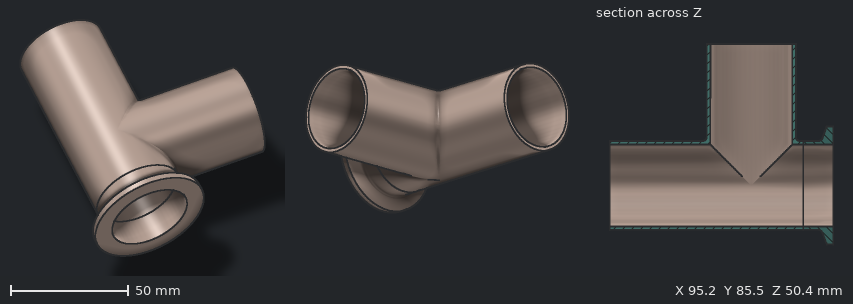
import cadquery as cq
import math

tube_outer_radius = 19.05
wall = 1.65
bore_radius = tube_outer_radius - wall

long_arm = 60.3
short_arm = 22.2
branch_length = long_arm
crotch_radius = 1.5
tangent_join_tolerance = 0.001

ferrule_length = 12.7
flange_radius = 25.2
flange_rim_thickness = 2.85
flange_taper_deg = 20.0
flange_root_radius = 1.6


def make_run(radius):
    """Solid cylinder along X over the full run of the tee."""
    run_length = long_arm + short_arm
    return cq.Workplane("YZ", origin=(-long_arm, 0, 0)).circle(radius).extrude(run_length)


def make_branch(radius):
    """Solid cylinder along +Y from the run axis to the branch end."""
    return cq.Workplane("XZ").circle(radius).extrude(-branch_length)


def make_crotch_fillet(side):
    """Wedge that rounds one crotch, on the +X side (side = 1) or the -X side (side = -1).

    A ball rolling in the crotch touches both tubes; its centre follows a half ellipse in the
    vertical plane midway between the arms, and its contact points lie in two vertical planes
    through the Z axis.
    """
    centre_reach = tube_outer_radius + crotch_radius
    major_radius = centre_reach * math.sqrt(2)
    crotch_plane = cq.Plane(origin=(0, 0, 0), xDir=(side, 1, 0), normal=(1, -side, 0))

    between_contacts = (
        cq.Workplane("XY")
        .moveTo(0, 0)
        .lineTo(side * centre_reach, tube_outer_radius)
        .lineTo(side * tube_outer_radius, centre_reach)
        .close()
        .extrude(tube_outer_radius, both=True)
    )
    below_centres = (
        cq.Workplane(crotch_plane)
        .ellipse(major_radius, centre_reach)
        .extrude(tube_outer_radius, both=True)
    )
    centre_path = cq.Workplane(crotch_plane).ellipseArc(
        major_radius, centre_reach, -90, 90, startAtCurrent=False
    )
    path_start = cq.Plane(origin=(0, 0, -centre_reach), xDir=(1, -side, 0), normal=(side, 1, 0))
    rolling_ball = cq.Workplane(path_start).circle(crotch_radius).sweep(centre_path)
    return between_contacts.intersect(below_centres).cut(rolling_ball)


def make_tee():
    """Equal tee with rounded outer crotches and an open bore through all three ends."""
    outside = make_run(tube_outer_radius).union(make_branch(tube_outer_radius))
    for side in (1, -1):
        outside = outside.union(make_crotch_fillet(side), tol=tangent_join_tolerance)
    return outside.cut(make_run(bore_radius)).cut(make_branch(bore_radius))


def make_ferrule():
    """Short tube that flares through a rounded root and a cone into the clamp flange."""
    start = short_arm
    end = start + ferrule_length
    rim_start = end - flange_rim_thickness
    taper = math.radians(flange_taper_deg)
    cone_start = rim_start - (flange_radius - tube_outer_radius) * math.tan(taper)

    turn = math.pi / 2 - taper
    arc_start = cone_start - flange_root_radius * math.tan(turn / 2)

    def root_point(angle):
        return (
            arc_start + flange_root_radius * math.sin(angle),
            tube_outer_radius + flange_root_radius * (1 - math.cos(angle)),
        )

    profile = (
        cq.Workplane("XY")
        .moveTo(start, bore_radius)
        .lineTo(start, tube_outer_radius)
        .lineTo(arc_start, tube_outer_radius)
        .threePointArc(root_point(turn / 2), root_point(turn))
        .lineTo(rim_start, flange_radius)
        .lineTo(end, flange_radius)
        .lineTo(end, bore_radius)
        .close()
    )
    return profile.revolve(360, (0, 0, 0), (1, 0, 0))


tee = make_tee()
ferrule = make_ferrule()

result = cq.Compound.makeCompound([*tee.solids().vals(), ferrule.val()])